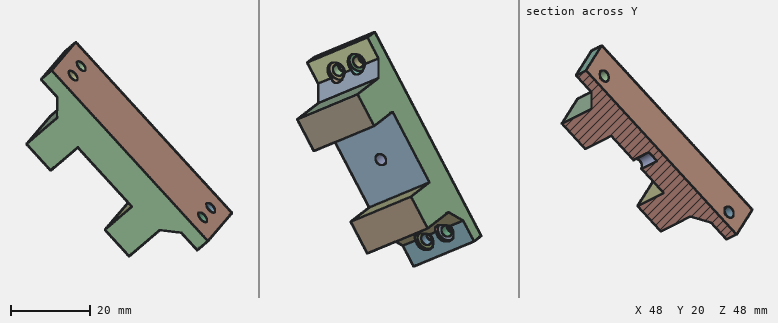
import cadquery as cq

body_width = 20.0
tilt = 45.0
slot_width = 20.2
leg_thickness = 9.1
slot_floor_depth = 9.35
flange_thickness = 4.0
flange_length = 10.0
gusset_size = 4.0

screw_diameter = 3.0
counterbore_diameter = 5.0
counterbore_depth = 1.0
screw_pair_spacing = 6.7
centre_hole_diameter = 3.0
centre_hole_depth = 6.0

slot_half = slot_width / 2
leg_outer = slot_half + leg_thickness
plate_half = leg_outer + flange_length
leg_height = slot_floor_depth + slot_half
gusset_start = leg_outer + gusset_size
gusset_depth = flange_thickness + gusset_size
screw_offset = leg_outer + flange_length / 2


def make_body():
    """Untilted profile, mounting face at Z = 0 and legs hanging down."""
    right_half = [
        (slot_half, -slot_floor_depth),
        (slot_half, -leg_height),
        (leg_outer, -leg_height),
        (leg_outer, -gusset_depth),
        (gusset_start, -flange_thickness),
        (plate_half, -flange_thickness),
        (plate_half, 0),
    ]
    left_half = [(-x, z) for x, z in reversed(right_half)]
    profile = cq.Workplane("XZ").polyline(right_half + left_half).close()
    return profile.extrude(body_width / 2, both=True)


def upright_cylinder(x, y, bottom, top, diameter):
    base = cq.Workplane("XY", origin=(x, y, bottom))
    return base.circle(diameter / 2).extrude(top - bottom)


def cut_flange_screws(body):
    """Two counterbored screw holes in each flange, heads on the leg side."""
    counterbore_floor = counterbore_depth - flange_thickness
    for x in (-screw_offset, screw_offset):
        for y in (-screw_pair_spacing / 2, screw_pair_spacing / 2):
            body = body.cut(upright_cylinder(x, y, -flange_thickness, 0, screw_diameter))
            body = body.cut(upright_cylinder(x, y, -gusset_depth, counterbore_floor, counterbore_diameter))
    return body


def cut_centre_hole(body):
    """Blind hole in the middle of the slot floor."""
    hole_top = centre_hole_depth - slot_floor_depth
    return body.cut(upright_cylinder(0, 0, -slot_floor_depth, hole_top, centre_hole_diameter))


body = make_body()
body = cut_flange_screws(body)
body = cut_centre_hole(body)
result = body.rotate((0, 0, 0), (0, 1, 0), tilt)